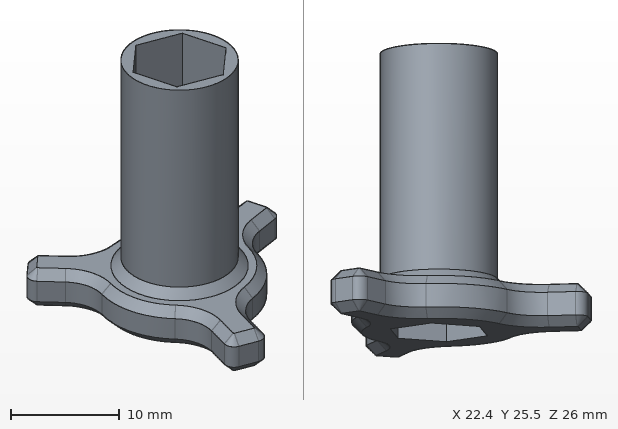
import cadquery as cq
import math

total_height = 26.0
tube_diameter = 10.8
hex_sides = 6
hex_across_flats = 8.3

arm_count = 3
plate_thickness = 4.0
hub_radius = 8.0
arm_width = 4.0
arm_reach = 14.0
arm_corner_radius = 1.0
edge_chamfer = 0.9

contact_angle = math.radians(30)
arm_half_width = arm_width / 2
fillet_radius = (hub_radius * math.sin(contact_angle) - arm_half_width) / (1 - math.sin(contact_angle))


def polar(radius, angle):
    return (radius * math.cos(angle), radius * math.sin(angle))


def rotated(point, angle):
    x, y = point
    return (
        x * math.cos(angle) - y * math.sin(angle),
        x * math.sin(angle) + y * math.cos(angle),
    )


def arm_upper_side():
    """Points from the arm's end to the hub, along the +Y side of an arm lying on +X."""
    corner_x = arm_reach - arm_corner_radius
    corner_y = arm_half_width - arm_corner_radius
    corner_dx, corner_dy = polar(arm_corner_radius, math.radians(45))
    fillet_x, fillet_y = polar(hub_radius + fillet_radius, contact_angle)
    fillet_mid_angle = (math.radians(270) + math.pi + contact_angle) / 2
    fillet_dx, fillet_dy = polar(fillet_radius, fillet_mid_angle)
    return [
        (arm_reach, corner_y),
        (corner_x + corner_dx, corner_y + corner_dy),
        (corner_x, arm_half_width),
        (fillet_x, arm_half_width),
        (fillet_x + fillet_dx, fillet_y + fillet_dy),
        polar(hub_radius, contact_angle),
    ]


def plate_outline():
    upper_side = arm_upper_side()
    lower_side = [(x, -y) for x, y in reversed(upper_side)]
    pitch = 2 * math.pi / arm_count
    outline = cq.Workplane("XY").moveTo(*lower_side[0])
    for arm in range(arm_count):
        angle = arm * pitch
        lower = [rotated(point, angle) for point in lower_side]
        upper = [rotated(point, angle) for point in upper_side]
        outline = (
            outline
            .threePointArc(lower[1], lower[2])
            .lineTo(*lower[3])
            .threePointArc(lower[4], lower[5])
            .lineTo(*upper[0])
            .threePointArc(upper[1], upper[2])
            .lineTo(*upper[3])
            .threePointArc(upper[4], upper[5])
        )
        rim_middle = polar(hub_radius, angle + pitch / 2)
        rim_end = rotated(lower_side[0], angle + pitch)
        outline = outline.threePointArc(rim_middle, rim_end)
    return outline.close()


def make_plate():
    plate = plate_outline().extrude(plate_thickness)
    return plate.faces("|Z").edges().chamfer(edge_chamfer)


def make_tube():
    """Solid round post with a conical flare where it meets the plate."""
    tube_radius = tube_diameter / 2
    return (
        cq.Workplane("XZ")
        .lineTo(tube_radius + edge_chamfer, 0)
        .lineTo(tube_radius + edge_chamfer, plate_thickness)
        .lineTo(tube_radius, plate_thickness + edge_chamfer)
        .lineTo(tube_radius, total_height)
        .lineTo(0, total_height)
        .close()
        .revolve(360, (0, 0, 0), (0, 1, 0))
    )


def make_hex_bore():
    """Hexagonal through hole with two flats facing +X and -X."""
    half_side_angle = 180 / hex_sides
    across_corners = hex_across_flats / math.cos(math.radians(half_side_angle))
    return (
        cq.Workplane("XY")
        .transformed(rotate=(0, 0, half_side_angle))
        .polygon(hex_sides, across_corners)
        .extrude(total_height)
    )


result = make_plate().union(make_tube()).cut(make_hex_bore())